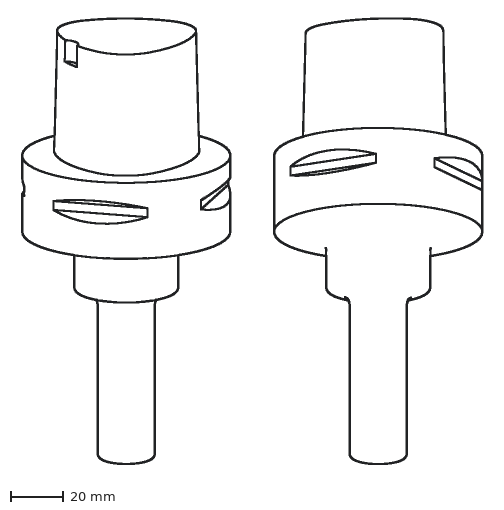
import cadquery as cq
import math

total_height = 168.0
flange_top = 120.1
flange_bottom = 89.9
neck_bottom = 67.0

flange_radius = 80.0 / 2
neck_radius = 40.0 / 2
shank_radius = 22.0 / 2
cone_angle = math.radians(15)
neck_fillet = 2.0
neck_rim_round = 1.0
shank_fillet = 5.0
shank_end_round = 1.7

lobe_count = 3
flat_distance = 25.5
tip_distance = 29.5
lobe_radius = 17.1
taper_per_height = 1 / 40

notch_radius = 6.0
notch_depth = 8.4
notch_back = 21.8

slot_count = 4
slot_start_angle = 45
slot_center_z = 108.0
slot_floor_height = 3.5
slot_floor_radius = 35.3
slot_flank_angle = math.radians(30)


def turned_body():
    """Flange, neck and shank as one revolved profile with rounded corners."""
    slope = math.tan(cone_angle)
    neck_top = flange_bottom - (flange_radius - neck_radius) * slope
    shank_top = neck_bottom - (neck_radius - shank_radius) * slope
    rounded_corners = [
        (0, shank_end_round),
        (shank_top, shank_fillet),
        (neck_bottom, neck_rim_round),
        (neck_top, neck_fillet),
    ]
    profile = [
        (0, 0),
        (shank_radius, 0),
        (shank_radius, shank_top),
        (neck_radius, neck_bottom),
        (neck_radius, neck_top),
        (flange_radius, flange_bottom),
        (flange_radius, flange_top),
        (0, flange_top),
    ]
    body = cq.Workplane("XZ").polyline(profile).close().revolve(360, (0, 0, 0), (0, 1, 0))
    for height, radius in rounded_corners:
        body = body.edges(cq.selectors.NearestToPointSelector((0, 0, height))).fillet(radius)
    return body


def polar(radius, angle):
    return (radius * math.cos(angle), radius * math.sin(angle))


def lobed_outline(plane, inset):
    """Six tangent arcs around the axis, with one lobe pointing along +Y."""
    lobe_offset = tip_distance - lobe_radius
    half_pitch = math.pi / lobe_count
    across = lobe_offset * math.sin(half_pitch)
    along = flat_distance - lobe_offset * math.cos(half_pitch)
    flat_radius = (across**2 + along**2 - lobe_radius**2) / (2 * (along - lobe_radius))
    join_angle = math.asin(across / (flat_radius - lobe_radius))

    def flat_point(flat_angle, turn):
        center = polar(flat_distance - flat_radius, flat_angle)
        arm = polar(flat_radius - inset, flat_angle + turn)
        return (center[0] + arm[0], center[1] + arm[1])

    first_flat = -math.pi / 2
    outline = plane.moveTo(*flat_point(first_flat, -join_angle))
    for index in range(lobe_count):
        flat_angle = first_flat + 2 * half_pitch * index
        next_flat = flat_angle + 2 * half_pitch
        lobe_tip = polar(tip_distance - inset, flat_angle + half_pitch)
        outline = outline.threePointArc(flat_point(flat_angle, 0), flat_point(flat_angle, join_angle))
        outline = outline.threePointArc(lobe_tip, flat_point(next_flat, -join_angle))
    return outline.close()


def coupling():
    height = total_height - flange_top
    base = lobed_outline(cq.Workplane("XY", origin=(0, 0, flange_top)), 0)
    top = lobed_outline(base.workplane(offset=height), height * taper_per_height)
    return top.loft(ruled=True)


def key_notch():
    return (
        cq.Workplane("XY", origin=(0, -notch_back - notch_radius, total_height - notch_depth))
        .circle(notch_radius)
        .extrude(notch_depth)
    )


def gripper_slot():
    """Straight slot with a flat floor and flaring flanks, lying on the +X side."""
    depth = flange_radius - slot_floor_radius
    floor_half = slot_floor_height / 2
    mouth_half = floor_half + depth * math.tan(slot_flank_angle)
    return (
        cq.Workplane("XZ", origin=(0, 0, slot_center_z))
        .moveTo(slot_floor_radius, -floor_half)
        .lineTo(flange_radius, -mouth_half)
        .lineTo(flange_radius, mouth_half)
        .lineTo(slot_floor_radius, floor_half)
        .close()
        .extrude(flange_radius, both=True)
    )


result = turned_body().union(coupling()).cut(key_notch())
for index in range(slot_count):
    angle = slot_start_angle + index * 360 / slot_count
    result = result.cut(gripper_slot().rotate((0, 0, 0), (0, 0, 1), angle))